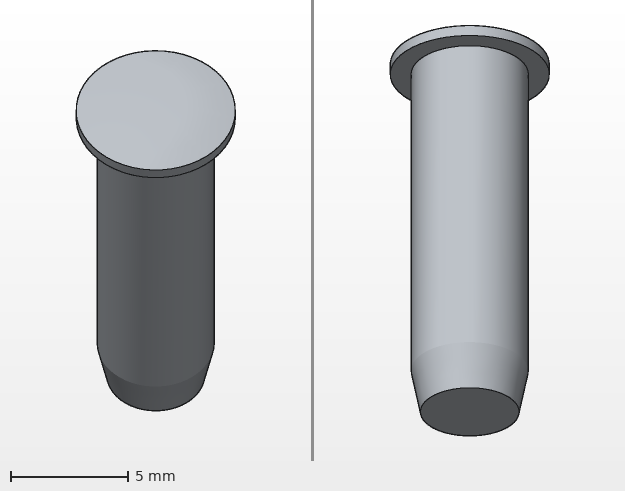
import cadquery as cq

total_height = 17.56
shank_radius = 5.0 / 2
head_radius = 6.8 / 2
tip_radius = 2.1
tip_height = 2.0
rim_height = 0.5
dome_height = 0.56

rim_top = total_height - dome_height
head_underside = rim_top - rim_height

dome_sphere_radius = (head_radius**2 + dome_height**2) / (2 * dome_height)
dome_center_z = total_height - dome_sphere_radius
arc_mid_radius = head_radius / 2
arc_mid_z = dome_center_z + (dome_sphere_radius**2 - arc_mid_radius**2) ** 0.5

half_profile = (
    cq.Workplane("XZ")
    .lineTo(tip_radius, 0)
    .lineTo(shank_radius, tip_height)
    .lineTo(shank_radius, head_underside)
    .lineTo(head_radius, head_underside)
    .lineTo(head_radius, rim_top)
    .threePointArc((arc_mid_radius, arc_mid_z), (0, total_height))
    .close()
)

result = half_profile.revolve(360, (0, 0, 0), (0, 1, 0))